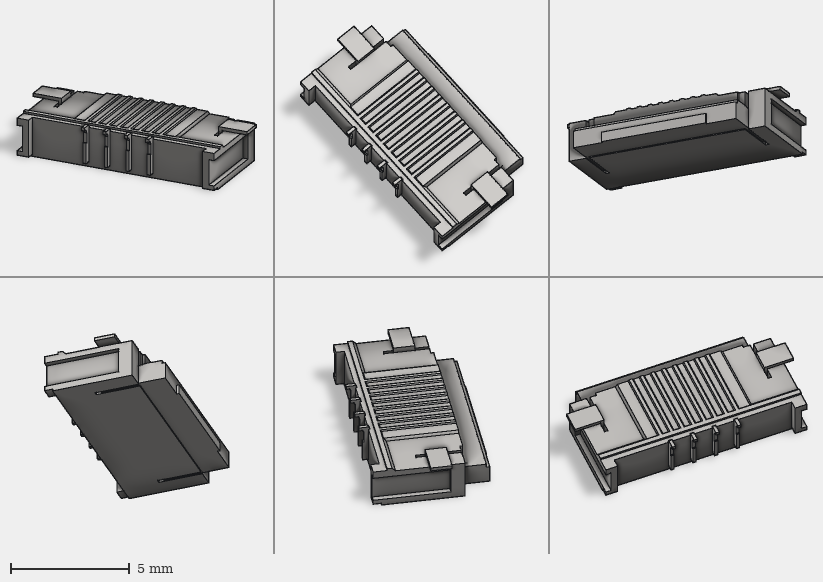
import cadquery as cq


body_half_width = 4.6
body_back = 3.95
plate_top = 1.72
ear_inner = 4.06
front_face = 0.36
ear_bottom = 0.09
ledge_top = 1.78
bar_front = 0.6
bar_back = 0.81
bar_top = 1.87

recess_depth = 0.24
recess_bottom = 0.3
recess_top = 1.45
recess_back = 3.34

cover_back = 4.07
cover_half_width = 2.46
cover_wing = 3.37
rib_count = 8
rib_pitch = 0.5
rib_top_width = 0.15
rib_height = 0.05
panel_top = bar_top - rib_height

nose_half_width = 3.82
nose_bottom = 0.05
nose_top = 0.96
nose_step_y = 5.0
nose_step_z = 0.81
nose_back = 5.15
lip_half_width = 2.45
lip_back = 5.26
lip_top = 0.48

slot_inner = 3.67
slot_front = 1.99
notch_inner = 3.58
arm_front = 2.22
arm_back = 4.22
arm_flat_end = 3.31
arm_top = 0.8
arm_round = 0.07

tab_tip = 5.0
tab_front = 2.4
tab_back = 3.31
tab_top = 1.96
tab_thickness = 0.15

pin_count = 4
pin_pitch = 1.0
pin_width = 0.15
pin_tip = -0.04
pin_heel = 0.36
pin_back = 0.42
pin_top = 1.9
pin_foot_bottom = 1.75
pin_bend_bottom = 1.6
pin_bend_run = 0.08
pin_neck_front = 0.17
pin_neck_bottom = 1.15
pin_stem_front = 0.11
pin_bottom = 0.21


def box(x0, x1, y0, y1, z0, z1):
    """Box between two opposite corners."""
    return cq.Workplane("XY").box(x1 - x0, y1 - y0, z1 - z0, centered=False).translate((x0, y0, z0))


def side_profile(points, x0, x1):
    """Extrude a (Y, Z) outline from x0 to x1."""
    return cq.Workplane("YZ").polyline(points).close().extrude(x1 - x0).translate((x0, 0, 0))


def mirrored(half):
    """A feature on the -X end together with its twin on the +X end."""
    return half.union(half.mirror("YZ"))


def spaced(count, pitch):
    """Centres of evenly spaced features, symmetric about zero."""
    return [(i - (count - 1) / 2) * pitch for i in range(count)]


def housing():
    chamfer = bar_top - plate_top
    outline = [
        (front_face, 0),
        (body_back, 0),
        (body_back, plate_top),
        (bar_back + chamfer, plate_top),
        (bar_back, bar_top),
        (bar_front, bar_top),
        (bar_front, ledge_top),
        (front_face, ledge_top),
    ]
    body = side_profile(outline, -body_half_width, body_half_width)
    ear = box(-body_half_width, -ear_inner, 0, front_face, ear_bottom, ledge_top)
    recess = box(
        -body_half_width, recess_depth - body_half_width, 0, recess_back, recess_bottom, recess_top
    )
    return body.union(mirrored(ear)).cut(mirrored(recess))


def nose():
    outline = [
        (body_back, nose_bottom),
        (nose_back, nose_bottom),
        (nose_back, nose_step_z),
        (nose_step_y, nose_step_z),
        (nose_step_y, nose_top),
        (body_back, nose_top),
    ]
    block = side_profile(outline, -nose_half_width, nose_half_width)
    lip = box(-lip_half_width, lip_half_width, nose_back, lip_back, nose_bottom, lip_top)
    return block.union(lip)


def trapezoid_bar(top_half_width, bottom_z, top_z):
    """Bar along Y with 45 degree flanks, reaching from the front bar to the back of the cover."""
    foot_half_width = top_half_width + top_z - bottom_z
    bar = (
        cq.Workplane("XZ")
        .polyline(
            [
                (-foot_half_width, bottom_z),
                (foot_half_width, bottom_z),
                (top_half_width, top_z),
                (-top_half_width, top_z),
            ]
        )
        .close()
        .extrude(bar_back - cover_back)
    )
    return bar.translate((0, bar_back, 0))


def cover():
    rear = box(-cover_wing, cover_wing, body_back, cover_back, nose_top, plate_top)
    panel_half_width = cover_half_width - (panel_top - plate_top)
    panel = trapezoid_bar(panel_half_width, plate_top, panel_top)
    strip = side_profile(
        [(bar_back, panel_top), (bar_back + rib_height, panel_top), (bar_back, bar_top)],
        -panel_half_width,
        panel_half_width,
    )
    shape = rear.union(panel).union(strip)
    rib = trapezoid_bar(rib_top_width / 2, panel_top, bar_top)
    for x in spaced(rib_count, rib_pitch):
        shape = shape.union(rib.translate((x, 0, 0)))
    return shape


def slots():
    opening = box(-nose_half_width, -slot_inner, slot_front, body_back, 0, plate_top)
    notch = box(-nose_half_width, -notch_inner, body_back, arm_back, nose_bottom, nose_top)
    return mirrored(opening.union(notch))


def arms():
    outline = [
        (arm_front, nose_bottom),
        (arm_back, nose_bottom),
        (arm_back, nose_top),
        (arm_flat_end, arm_top),
        (arm_front, arm_top),
    ]
    arm = side_profile(outline, -nose_half_width, -notch_inner)
    front_top_edge = cq.selectors.NearestToPointSelector((-slot_inner, arm_front, arm_top))
    arm = arm.edges(front_top_edge).fillet(arm_round)
    return mirrored(arm)


def tabs():
    plate = box(-tab_tip, -slot_inner, tab_front, tab_back, tab_top - tab_thickness, tab_top)
    leg = box(-nose_half_width, -slot_inner, tab_front, tab_back, arm_top, tab_top)
    return mirrored(plate.union(leg))


def pins():
    outline = [
        (pin_tip, pin_top),
        (pin_heel, pin_top),
        (pin_back, ledge_top),
        (pin_back, pin_bottom),
        (pin_stem_front, pin_bottom),
        (pin_stem_front, pin_neck_bottom),
        (pin_neck_front, pin_neck_bottom),
        (pin_neck_front, pin_bend_bottom),
        (pin_neck_front - pin_bend_run, pin_foot_bottom),
        (pin_tip, pin_foot_bottom),
    ]
    pin = side_profile(outline, -pin_width / 2, pin_width / 2)
    shape = cq.Workplane("XY")
    for x in spaced(pin_count, pin_pitch):
        shape = shape.add(pin.translate((x, 0, 0)))
    return shape.combine()


result = housing().union(nose()).union(cover()).cut(slots())
result = result.union(arms()).union(tabs()).union(pins()).clean()